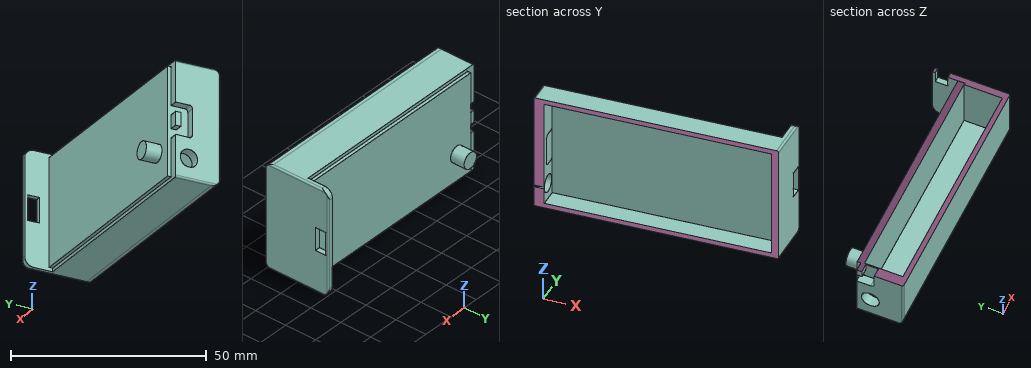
import cadquery as cq

length = 67.5
depth = 21.2
height = 33.0
corner_radius = 2.55
end_round = 0.55

rim_y = 13.1
lid_inset = 1.0
ledge_width = 0.5
side_wall = lid_inset + ledge_width
front_wall = side_wall
lid_start = 2.5
end_wall = lid_start + ledge_width
flange_thickness = 1.6
flange_x = length - flange_thickness

window_y = 16.9
window_width = 3.45
window_height = 7.15

notch_depth = 4.85
notch_height = 9.1
notch_radius = 0.9
port_diameter = 5.0
port_y = 9.25
port_z = 6.1

lid_rise = 1.0
lid_recess = 1.0
lid_length = flange_x - lid_start
lid_y = rim_y + lid_rise
ledge_y = rim_y - lid_recess
tab_depth = 1.5
tab_height = 3.9
peg_diameter = 5.0
peg_x = 8.0
peg_z = 9.5
peg_height = 4.5

mid_z = height / 2


def block(x, y, z, size_x, size_y, size_z):
    """Box placed by its lowest corner."""
    return cq.Workplane("XY").box(size_x, size_y, size_z, centered=False).translate((x, y, z))


def make_lid_plate():
    """Plate that rests on the ledge and rises above the housing rim."""
    return block(lid_start, ledge_y, lid_inset,
                 lid_length, lid_recess + lid_rise, height - 2 * lid_inset)


def make_cavity():
    """Hollow below the lid, one ledge width inside the lid's outline."""
    return block(end_wall, front_wall, side_wall,
                 lid_length - 2 * ledge_width, ledge_y - front_wall, height - 2 * side_wall)


def make_notch(x, thickness):
    """Round-cornered notch shape in the end wall, open at the rim."""
    notch = block(x, rim_y - notch_depth, mid_z - notch_height / 2,
                  thickness, notch_depth, notch_height)
    return notch.edges("|X and <Y").fillet(notch_radius)


def make_housing():
    """Open-backed shell with a tall flange on its +X end."""
    outer = block(0, 0, 0, length, depth, height).faces("<X or >X").edges().fillet(end_round)
    profile = block(0, 0, 0, length, depth, height).edges("|X").fillet(corner_radius)
    housing = outer.intersect(profile)
    housing = housing.cut(block(0, rim_y, 0, flange_x, depth - rim_y, height))
    housing = housing.cut(make_lid_plate()).cut(make_cavity())

    window = block(flange_x, window_y, mid_z - window_height / 2,
                   flange_thickness, window_width, window_height)
    port = (cq.Workplane("YZ").center(port_y, port_z)
            .circle(port_diameter / 2).extrude(end_wall))
    return housing.cut(window).cut(make_notch(0, end_wall)).cut(port)


def make_lid():
    """Plate with a tongue that closes the notch, a tab on the tongue and a round peg."""
    tongue = make_notch(lid_start, ledge_width)
    tab = block(0, rim_y - tab_depth, mid_z - tab_height / 2,
                lid_start, tab_depth, tab_height)
    peg = (cq.Workplane("XZ", origin=(0, lid_y, 0)).center(peg_x, peg_z)
           .circle(peg_diameter / 2).extrude(-peg_height))
    return make_lid_plate().union(tongue).union(tab).union(peg)


housing = make_housing()
lid = make_lid()

result = cq.Compound.makeCompound([housing.val(), lid.val()])